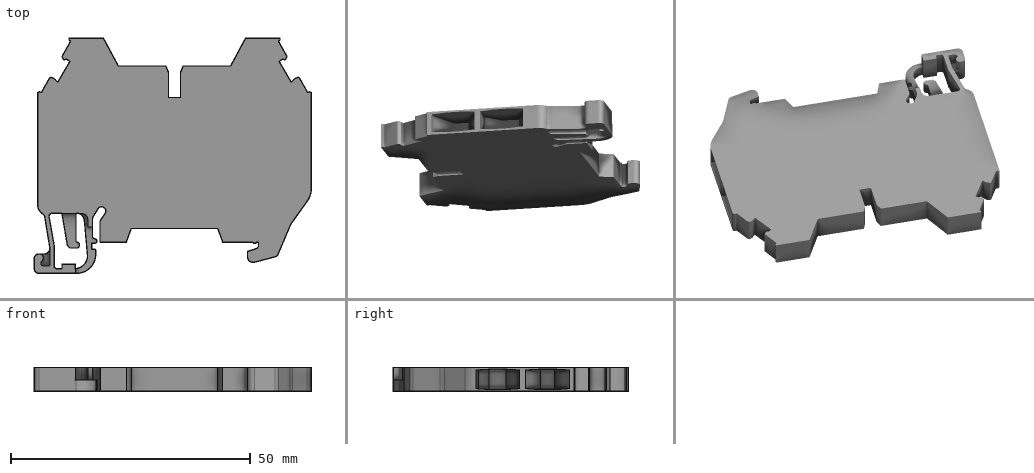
import cadquery as cq
import math

thickness = 5.0
low_level = 2.4

half_width = 28.55
top_y = 49.06
shoulder_y = 43.3
foot_y = 6.5
foot_bump = 0.2
foot_chamfer = 0.15
rail_y = 9.36
rail_half_width = 9.0
rail_mouth_half_width = 10.05

slot_half_width = 1.23
slot_bottom_y = 36.7
slot_flare_y = 41.9
slot_flare_half_width = 1.8

side_start_y = 14.25

hook_left_x = -29.28
hook_top_y = 4.08
hook_floor_y = 1.6
hook_floor_chamfer = 0.2
hook_top_radius = 1.0
sole_corner_radius = 1.05
leg_outer_x = -26.0
leg_bend_y = 5.25
leg_inner_x = -25.05
sole_block_left_x = -23.5
sole_block_right_x = -20.67
sole_block_y = 1.96
window_top_y = 12.54
window_floor_y = 1.02
window_corner_radius = 0.5
tongue_left_x = -23.5
tongue_right_x = -20.5
tongue_overlap = 0.5
arm_outer_x = -17.09
nub_tip_x = -16.15
slit_right_x = -15.58
arm_step_y = 9.7
upper_wall_x = -18.05

funnel_mouth_length = 9.15
funnel_mouth_height = 3.85
funnel_crown = 0.22
funnel_depth = 8.4
funnels = [
    (36.75, 1.0, 33.65, 30.7),
    (26.4, 4.5, 23.5, 19.95),
]

upper_edge = [
    (slot_half_width, slot_bottom_y),
    (slot_half_width, slot_flare_y),
    (slot_flare_half_width, shoulder_y),
    (11.7, shoulder_y),
    (14.8, top_y),
    (22.0, top_y),
    (22.0, 48.65),
    (21.7, 48.4),
    (23.5, 45.2),
    (23.05, 44.5),
    (22.5, 44.65),
    (21.85, 44.2),
    (24.36, 39.9),
    (25.1, 40.65),
    (25.8, 40.95),
    (26.1, 40.7),
    (27.75, 37.8),
    (28.15, 37.9),
    (half_width, 37.7),
]


def mirrored(points):
    """Mirror points across X = 0, reversed so that the path stays continuous."""
    return [(-x, y) for x, y in reversed(points)]


def lines(path, points):
    """Append straight segments to a path."""
    for x, y in points:
        path = path.lineTo(x, y)
    return path


def rounded_corner(path, corner, back, ahead, radius):
    """Line and tangent arc around a square corner; back and ahead are unit directions leaving it."""
    mid_offset = radius * (1 - math.sqrt(0.5))
    x, y = corner
    start = (x + radius * back[0], y + radius * back[1])
    middle = (x + mid_offset * (back[0] + ahead[0]), y + mid_offset * (back[1] + ahead[1]))
    end = (x + radius * ahead[0], y + radius * ahead[1])
    return path.lineTo(*start).threePointArc(middle, end)


def prism(path, bottom, top):
    """Close a path and make it a solid between two heights."""
    return path.close().extrude(top - bottom).translate((0, 0, bottom))


def add_right_foot(path):
    """Right side wall down to the rigid rail hook, ending at the rail recess."""
    path = path.lineTo(half_width, 17.8)
    path = path.threePointArc((28.32, 16.32), (27.65, 15.0))
    path = path.lineTo(24.6, 10.75)
    path = path.threePointArc((24.28, 10.25), (24.05, 9.75))
    path = path.lineTo(21.65, 4.1)
    path = path.threePointArc((21.4, 3.72), (20.95, 3.45))
    path = path.lineTo(16.7, 2.33)
    path = path.threePointArc((15.6, 2.6), (15.2, 3.6))
    return lines(path, [
        (15.2, 4.6),
        (17.15, 5.25),
        (17.47, 5.6),
        (17.47, foot_y),
        (17.1, foot_y),
        (16.95, foot_y - foot_bump),
        (16.5, foot_y - foot_bump),
        (16.3, foot_y),
        (rail_mouth_half_width, foot_y),
        (rail_half_width, rail_y),
    ])


def add_slit(path):
    """Left foot and the round-ended slit between it and the spring arm."""
    path = lines(path, [
        (-rail_half_width, rail_y),
        (-rail_mouth_half_width, foot_y),
        (slit_right_x + foot_chamfer, foot_y),
        (slit_right_x, foot_y + foot_chamfer),
        (slit_right_x, 10.9),
        (-14.55, 12.45),
    ])
    path = path.threePointArc((-14.75, 13.75), (-16.0, 13.4))
    return lines(path, [(-17.0, 11.7), (arm_outer_x, 11.3)])


def add_spring_arm(path):
    """Outer edge of the spring arm with its nub, ending on the sole."""
    path = lines(path, [(arm_outer_x, 7.5), (-16.6, 7.25)])
    path = path.threePointArc((nub_tip_x, 6.75), (-16.6, 6.3))
    path = lines(path, [(-17.25, 6.3), (-17.25, 5.1), (-16.6, 5.1), (-16.4, 4.9), (-16.4, 3.8)])
    return path.threePointArc((-17.5, 1.25), (-20.5, 0))


def add_hook_and_leg(path):
    """Sole, hook and leg of the clip, ending on the left side wall."""
    path = rounded_corner(path, (hook_left_x, 0), (1, 0), (0, 1), sole_corner_radius)
    path = rounded_corner(path, (hook_left_x, hook_top_y), (0, -1), (1, 0), hook_top_radius)
    path = path.lineTo(leg_outer_x - 1.2, hook_top_y)
    path = path.threePointArc((leg_outer_x - 0.35, 4.45), (leg_outer_x, leg_bend_y))
    path = path.lineTo(-27.1, 11.9)
    path = path.threePointArc((-27.32, 12.3), (-27.7, 12.55))
    return path.threePointArc((-28.3, 13.28), (-half_width, side_start_y))


def make_plate():
    """Full-height plate with the complete outer outline, clip included."""
    path = cq.Workplane("XY").moveTo(-slot_half_width, slot_bottom_y)
    path = lines(path, upper_edge)
    path = add_right_foot(path)
    path = add_slit(path)
    path = add_spring_arm(path)
    path = add_hook_and_leg(path)
    path = lines(path, mirrored(upper_edge)[:-1])
    return prism(path, 0, thickness)


def make_window():
    """Through opening enclosed by the leg, the sole and the spring arm."""
    path = cq.Workplane("XY").moveTo(-25.6, window_top_y)
    path = path.threePointArc((-26.0, 12.3), (-26.1, 11.7))
    path = path.lineTo(leg_inner_x, 5.8)
    path = rounded_corner(path, (leg_inner_x, window_floor_y), (0, 1), (1, 0), window_corner_radius)
    path = lines(path, [
        (sole_block_left_x, window_floor_y),
        (sole_block_left_x, sole_block_y),
        (sole_block_right_x, sole_block_y),
        (sole_block_right_x, window_floor_y),
    ])
    path = path.threePointArc((-18.9, 1.85), (-18.15, 3.6))
    path = lines(path, [(-18.75, 10.3), (-18.85, 11.2)])
    path = path.threePointArc((-19.2, 12.0), (-20.1, window_top_y))
    return prism(path, 0, thickness)


def make_tongue():
    """Thin tongue hanging into the window from its top edge."""
    root_y = window_top_y + tongue_overlap
    path = cq.Workplane("XY").moveTo(tongue_right_x, root_y)
    path = lines(path, [(tongue_right_x, 6.65), (-20.2, 6.5)])
    path = path.threePointArc((-19.8, 5.9), (-20.2, 5.3))
    path = lines(path, [
        (-21.8, 5.3),
        (-22.35, 5.85),
        (tongue_left_x, window_top_y),
        (tongue_left_x, root_y),
    ])
    return prism(path, 0, low_level)


def make_arm_relief():
    """Space above the thin spring arm."""
    below_sole_y = -1.0
    mid_slit_x = (slit_right_x + nub_tip_x) / 2
    path = cq.Workplane("XY").moveTo(sole_block_right_x, below_sole_y)
    path = lines(path, [(sole_block_right_x, window_top_y), (-19.4, window_top_y)])
    path = path.threePointArc((-18.45, 12.1), (upper_wall_x, 11.1))
    path = lines(path, [
        (upper_wall_x, arm_step_y),
        (mid_slit_x, arm_step_y),
        (mid_slit_x, below_sole_y),
    ])
    return prism(path, low_level, thickness)


def make_hook_relief():
    """Space between the hook and the leg, above the thin web."""
    lip_x = -28.1
    path = cq.Workplane("XY").moveTo(lip_x, leg_bend_y)
    path = path.lineTo(lip_x, hook_top_y)
    path = path.threePointArc((-27.35, 3.3), (-27.6, 2.6))
    path = path.threePointArc((-27.85, 2.0), (-27.4, hook_floor_y))
    path = lines(path, [
        (leg_outer_x - hook_floor_chamfer, hook_floor_y),
        (leg_outer_x, hook_floor_y + hook_floor_chamfer),
        (leg_outer_x, leg_bend_y),
    ])
    return prism(path, low_level, thickness)


def make_funnel(mouth_top_y, lead_depth, back_top_y, back_bottom_y):
    """Wire funnel in the left side wall: crowned roof and floor, straight lead-in, then closing in."""
    mouth_bottom_y = mouth_top_y - funnel_mouth_length
    mouth_mid_y = (mouth_top_y + mouth_bottom_y) / 2
    low_z = (thickness - funnel_mouth_height) / 2
    high_z = thickness - low_z
    lead_x = -half_width + lead_depth
    back_x = -half_width + funnel_depth
    channel = (
        cq.Workplane("YZ")
        .moveTo(mouth_bottom_y, low_z)
        .threePointArc((mouth_mid_y, low_z - funnel_crown), (mouth_top_y, low_z))
        .lineTo(mouth_top_y, high_z)
        .threePointArc((mouth_mid_y, high_z + funnel_crown), (mouth_bottom_y, high_z))
        .close()
        .extrude(funnel_depth)
        .translate((-half_width, 0, 0))
    )
    taper = cq.Workplane("XY").polyline([
        (-half_width, mouth_top_y),
        (lead_x, mouth_top_y),
        (back_x, back_top_y),
        (back_x, back_bottom_y),
        (lead_x, mouth_bottom_y),
        (-half_width, mouth_bottom_y),
    ])
    return channel.intersect(prism(taper, 0, thickness))


result = make_plate().cut(make_window()).union(make_tongue())
result = result.cut(make_arm_relief()).cut(make_hook_relief())
for funnel_sizes in funnels:
    funnel = make_funnel(*funnel_sizes)
    result = result.cut(funnel).cut(funnel.mirror("YZ"))